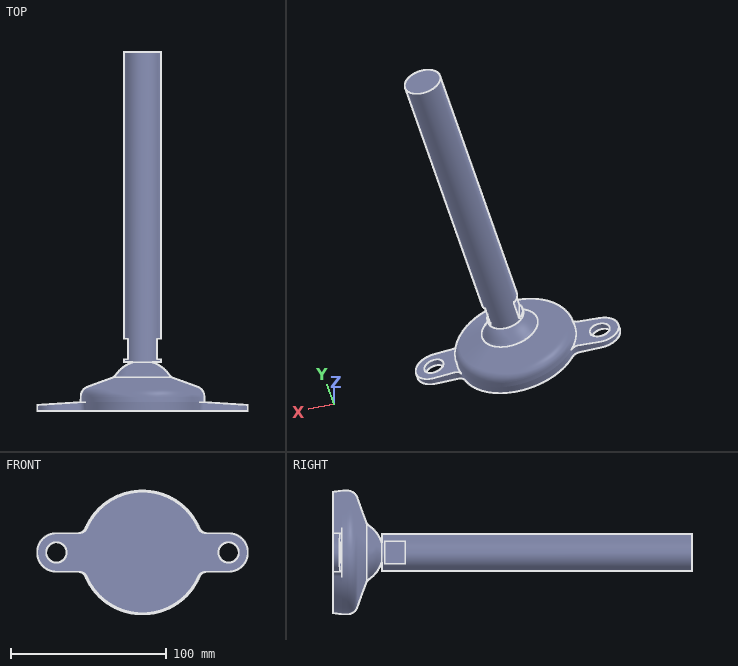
import cadquery as cq
import math

overall_length = 231.5
rod_length = 200.0
rod_start = overall_length - rod_length
rod_radius = 12.0

flats_across = 19.0
flats_length = 13.0
collar_thickness = 2.0

base_radius = 39.2
rim_radius = 40.0
rim_bottom = 5.8
rim_top = 9.2
shoulder_fillet = 7.0
cone_angle = math.radians(20)
neck_radius = 18.8

dome_radius = 21.0
dome_center = 11.5
dome_bottom = 23.2

overall_width = 136.0
ear_radius = 12.5
ear_hole_diameter = 13.0
ear_blend_radius = 5.0
ear_tip_thickness = 4.0
ear_root_thickness = rim_bottom
ear_center = overall_width / 2 - ear_radius
ear_blank_thickness = 1.5 * ear_root_thickness
corner_search_reach = 2.0


def make_foot_body():
    """Foot revolved about Y, from the flat base up to the top of the dome."""
    def shoulder_point(angle):
        return (
            rim_radius - shoulder_fillet + shoulder_fillet * math.cos(angle),
            rim_top + shoulder_fillet * math.sin(angle),
        )

    def dome_point(angle):
        return (
            dome_radius * math.cos(angle),
            dome_center + dome_radius * math.sin(angle),
        )

    shoulder_sweep = math.pi / 2 - cone_angle
    shoulder_end = shoulder_point(shoulder_sweep)
    neck_height = shoulder_end[1] + (shoulder_end[0] - neck_radius) * math.tan(cone_angle)
    dome_start_angle = math.asin((dome_bottom - dome_center) / dome_radius)
    dome_mid_angle = (dome_start_angle + math.pi / 2) / 2
    return (
        cq.Workplane("XY")
        .lineTo(base_radius, 0)
        .lineTo(rim_radius, rim_bottom)
        .lineTo(rim_radius, rim_top)
        .threePointArc(shoulder_point(shoulder_sweep / 2), shoulder_end)
        .lineTo(neck_radius, neck_height)
        .lineTo(*dome_point(dome_start_angle))
        .threePointArc(dome_point(dome_mid_angle), dome_point(math.pi / 2))
        .close()
        .revolve(360, (0, 0, 0), (0, 1, 0))
    )


def make_rod():
    """Plain rod with two opposite wrench flats just above an end collar."""
    rod = cq.Workplane("XZ", origin=(0, rod_start, 0)).circle(rod_radius).extrude(-rod_length)
    flat_depth = rod_radius - flats_across / 2
    flat_x = (flats_across + flat_depth) / 2
    flat_y = rod_start + collar_thickness + flats_length / 2
    for side in (-1, 1):
        cutter = cq.Workplane("XY").box(flat_depth, flats_length, 2 * rod_radius)
        rod = rod.cut(cutter.translate((side * flat_x, flat_y, 0)))
    return rod


def make_ear_plate():
    """Both ears on a strap blended into the skirt, thinning toward the tips."""
    taper = (rim_radius - base_radius) / rim_bottom
    skirt = (
        cq.Workplane("XY")
        .lineTo(base_radius, 0)
        .lineTo(base_radius + taper * ear_blank_thickness, ear_blank_thickness)
        .lineTo(0, ear_blank_thickness)
        .close()
        .revolve(360, (0, 0, 0), (0, 1, 0))
    )
    strap = (
        cq.Workplane("XZ")
        .slot2D(overall_width, 2 * ear_radius)
        .extrude(-ear_blank_thickness)
    )
    corner_x = math.sqrt(base_radius**2 - ear_radius**2)
    reach = corner_search_reach
    plate = skirt.union(strap)
    for side_x in (-1, 1):
        for side_z in (-1, 1):
            x = side_x * corner_x
            z = side_z * ear_radius
            corner = cq.selectors.BoxSelector(
                (x - reach, 0, z - reach),
                (x + reach, ear_blank_thickness, z + reach),
            )
            plate = plate.edges(corner).fillet(ear_blend_radius)

    envelope = (
        cq.Workplane("XY")
        .moveTo(-overall_width / 2, 0)
        .lineTo(overall_width / 2, 0)
        .lineTo(overall_width / 2, ear_tip_thickness)
        .lineTo(rim_radius, ear_root_thickness)
        .lineTo(-rim_radius, ear_root_thickness)
        .lineTo(-overall_width / 2, ear_tip_thickness)
        .close()
        .extrude(overall_width / 2, both=True)
    )
    holes = (
        cq.Workplane("XZ")
        .pushPoints([(-ear_center, 0), (ear_center, 0)])
        .circle(ear_hole_diameter / 2)
        .extrude(-ear_blank_thickness)
    )
    return plate.intersect(envelope).cut(holes)


result = make_foot_body().union(make_ear_plate()).union(make_rod())